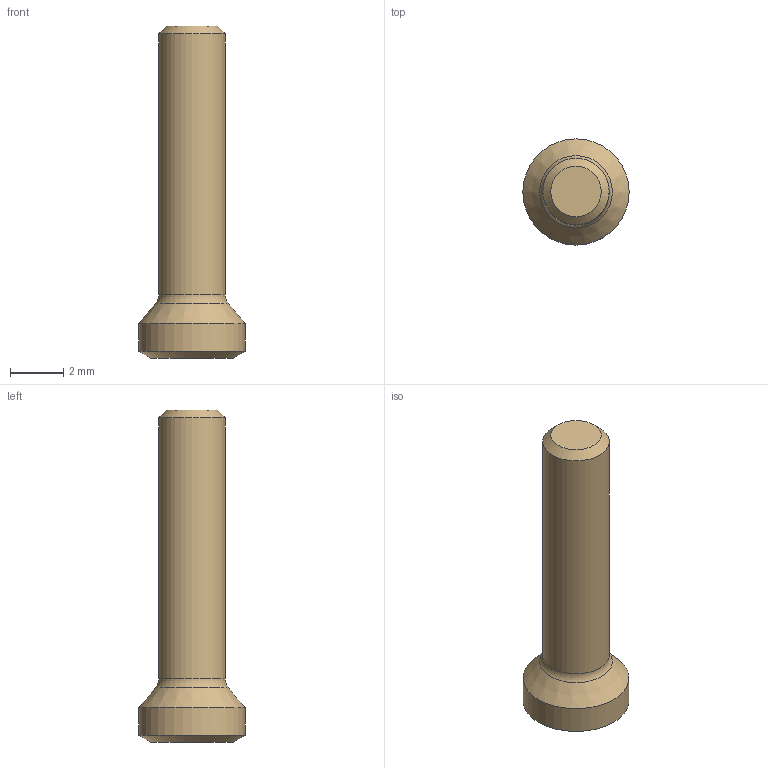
import cadquery as cq
import math

total_length = 12.5
shank_radius = 1.25
head_radius = 2.0

foot_height = 0.25
foot_angle = math.radians(30)
band_top = 1.3
shoulder_angle = math.radians(50)

neck_fillet_radius = 0.5
tip_chamfer = 0.3

foot_radius = head_radius - foot_height / math.tan(foot_angle)

arc_centre_r = shank_radius + neck_fillet_radius
arc_low_r = arc_centre_r - neck_fillet_radius * math.sin(shoulder_angle)
arc_low_z = band_top + (head_radius - arc_low_r) * math.tan(shoulder_angle)
arc_centre_z = arc_low_z + neck_fillet_radius * math.cos(shoulder_angle)
arc_mid_angle = (math.pi / 2 - shoulder_angle) / 2
arc_mid_r = arc_centre_r - neck_fillet_radius * math.cos(arc_mid_angle)
arc_mid_z = arc_centre_z - neck_fillet_radius * math.sin(arc_mid_angle)

half_section = (
    cq.Workplane("XZ")
    .moveTo(0, 0)
    .lineTo(foot_radius, 0)
    .lineTo(head_radius, foot_height)
    .lineTo(head_radius, band_top)
    .lineTo(arc_low_r, arc_low_z)
    .threePointArc((arc_mid_r, arc_mid_z), (shank_radius, arc_centre_z))
    .lineTo(shank_radius, total_length - tip_chamfer)
    .lineTo(shank_radius - tip_chamfer, total_length)
    .lineTo(0, total_length)
    .close()
)

result = half_section.revolve(360, (0, 0, 0), (0, 1, 0))